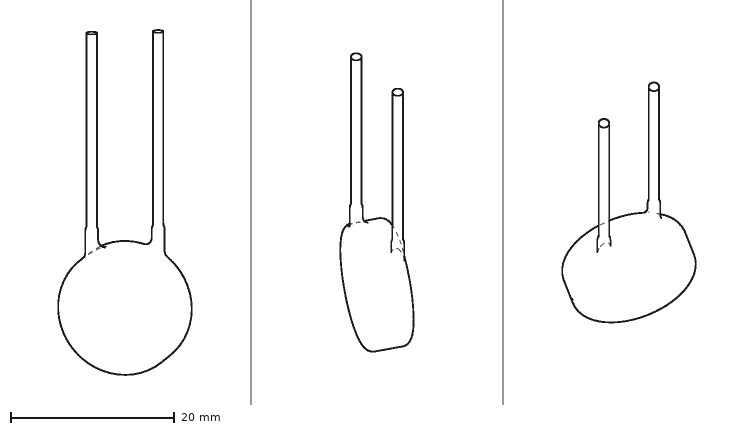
import cadquery as cq

DISC_RADIUS = 8.0
DISC_THICKNESS = 5.5
DISC_EDGE_RADIUS = 1.0

LEAD_RADIUS = 0.65
LEAD_TOP = 35.0
LEAD_PITCH_X = 7.5
LEAD_PITCH_Y = 3.25

SLEEVE_RADIUS = 0.8
SLEEVE_BOTTOM = 4.0
SLEEVE_SHOULDER = 9.9
TAPER_HEIGHT = 0.7
SLEEVE_FILLET = 1.0


def make_disc():
    disc = (
        cq.Workplane("XZ", origin=(0, DISC_THICKNESS / 2, 0))
        .circle(DISC_RADIUS)
        .extrude(DISC_THICKNESS)
    )
    return disc.faces("<Y or >Y").edges().fillet(DISC_EDGE_RADIUS)


def make_sleeved_lead():
    """Lead and sleeve on the Z axis, joined by a convex arc flowing into a concave one."""
    step = SLEEVE_RADIUS - LEAD_RADIUS
    taper_middle = (SLEEVE_RADIUS - step / 2, SLEEVE_SHOULDER + TAPER_HEIGHT / 2)
    taper_end = (LEAD_RADIUS, SLEEVE_SHOULDER + TAPER_HEIGHT)
    return (
        cq.Workplane("XZ")
        .moveTo(0, SLEEVE_BOTTOM)
        .lineTo(SLEEVE_RADIUS, SLEEVE_BOTTOM)
        .lineTo(SLEEVE_RADIUS, SLEEVE_SHOULDER)
        .tangentArcPoint(taper_middle, relative=False)
        .tangentArcPoint(taper_end, relative=False)
        .lineTo(LEAD_RADIUS, LEAD_TOP)
        .lineTo(0, LEAD_TOP)
        .close()
        .revolve(360, (0, 0, 0), (0, 1, 0))
    )


def root_edges(solid):
    """Edges along which the sleeves meet the disc."""
    tolerance = 0.01
    sleeve_faces = [
        face
        for face in solid.faces("%CYLINDER").vals()
        if abs(face.BoundingBox().zmax - SLEEVE_SHOULDER) < tolerance
    ]
    sleeve_edges = [edge for face in sleeve_faces for edge in face.Edges()]
    return [edge for edge in sleeve_edges if edge.BoundingBox().zmax < DISC_RADIUS]


body = make_disc()
for side in (-1, 1):
    lead_position = (side * LEAD_PITCH_X / 2, side * LEAD_PITCH_Y / 2, 0)
    body = body.union(make_sleeved_lead().translate(lead_position))

result = body.newObject(root_edges(body)).fillet(SLEEVE_FILLET)